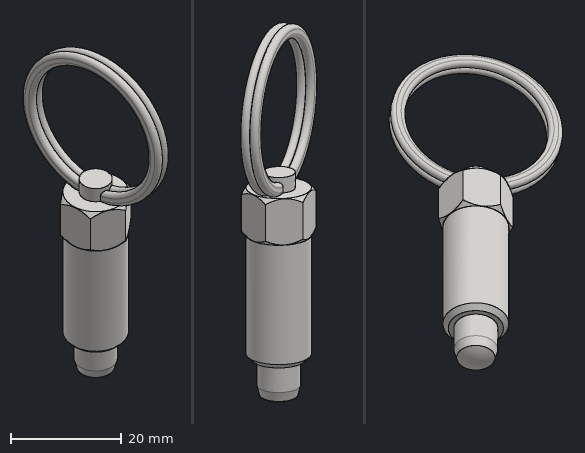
import cadquery as cq
import math

pin_radius = 4.0
pin_length = 8.0
pin_taper_top_z = 2.9
dome_radius = 3.5
dome_height = 1.0

barrel_radius = 6.0
barrel_chamfer = 1.0
barrel_bottom_z = pin_length

hex_across_flats = 2 * barrel_radius
hex_bottom_z = 32.0
hex_height = 9.0
hex_top_z = hex_bottom_z + hex_height
hex_corner_radius = hex_across_flats / math.sqrt(3)
hex_bevel_margin = 0.05
hex_face_radius = hex_across_flats / 2 - hex_bevel_margin
hex_bevel_drop = hex_corner_radius - hex_face_radius

button_radius = 3.0
button_height = 3.0

overall_height = 71.87
ring_outer_radius = 31.75 / 2
coil_width = 1.75
coil_thickness = 2.65
coil_count = 2
ring_center_z = overall_height - ring_outer_radius


def make_pin_and_barrel():
    """Turned profile from the domed pin tip up to the underside of the hexagon."""
    sphere_radius = (dome_radius**2 + dome_height**2) / (2 * dome_height)
    half_angle = math.asin(dome_radius / sphere_radius) / 2
    arc_middle = (sphere_radius * math.sin(half_angle), sphere_radius * (1 - math.cos(half_angle)))
    return (
        cq.Workplane("XZ")
        .moveTo(0, 0)
        .threePointArc(arc_middle, (dome_radius, dome_height))
        .lineTo(pin_radius, pin_taper_top_z)
        .lineTo(pin_radius, barrel_bottom_z)
        .lineTo(barrel_radius - barrel_chamfer, barrel_bottom_z)
        .lineTo(barrel_radius, barrel_bottom_z + barrel_chamfer)
        .lineTo(barrel_radius, hex_bottom_z)
        .lineTo(0, hex_bottom_z)
        .close()
        .revolve(360, (0, 0, 0), (0, 1, 0))
    )


def make_hex_head():
    """Hexagon whose corners are bevelled by a cone at both ends."""
    hexagon = (
        cq.Workplane("XY", origin=(0, 0, hex_bottom_z))
        .polygon(6, 2 * hex_corner_radius)
        .extrude(hex_height)
    )
    bevel_envelope = (
        cq.Workplane("XY", origin=(0, 0, hex_bottom_z))
        .circle(hex_corner_radius)
        .extrude(hex_height)
        .faces("<Z or >Z")
        .chamfer(hex_bevel_drop)
    )
    return hexagon.intersect(bevel_envelope)


def make_button():
    return cq.Workplane("XY", origin=(0, 0, hex_top_z)).circle(button_radius).extrude(button_height)


def make_ring():
    """Coils of rounded flat wire, joined along their flat sides into one solid."""
    section_radius = ring_outer_radius - coil_thickness / 2
    coil_positions = [
        (section_radius, (index - (coil_count - 1) / 2) * coil_width) for index in range(coil_count)
    ]
    coils = [
        cq.Workplane("XY", origin=(0, 0, ring_center_z))
        .center(x, y)
        .slot2D(coil_thickness, coil_width)
        .revolve(360, (-x, 0, 0), (-x, 1, 0))
        for x, y in coil_positions
    ]
    ring = coils[0]
    for coil in coils[1:]:
        ring = ring.union(coil)
    return ring


ring = make_ring()

plunger = make_pin_and_barrel().union(make_hex_head()).union(make_button()).cut(ring)

result = cq.Compound.makeCompound([plunger.solids().val(), ring.solids().val()])